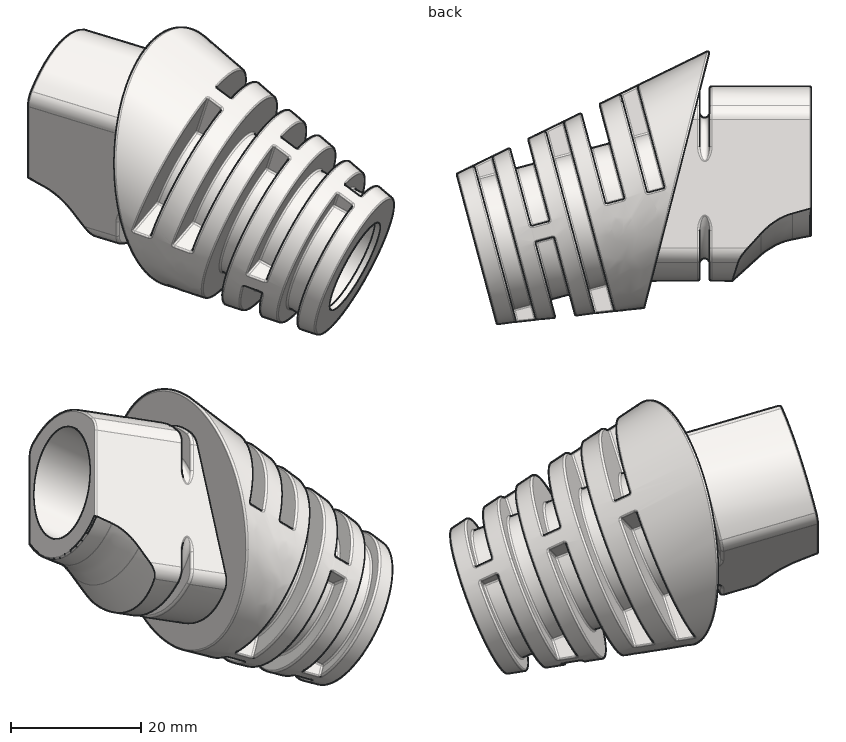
import cadquery as cq
import math

AXIS_TILT = 15.0
END_X, END_Z = 51.4, -10.1

END_RADIUS = 12.0
FACE_X, FACE_Z = 20.6, 0.7
FACE_TILT = 14.3
FACE_HALF_HEIGHT = 20.5
FACE_HALF_WIDTH = 19.0

CORE_RADIUS = 10.45
SLOT_WIDTH = 3.0
SLOT_PITCH = 2 * SLOT_WIDTH
RIB_WIDTH = 2.5
PARTIAL_SLOT_FLOOR = 1.6
CUTTER_RADIUS = 24.5

LAST_SLOT_START = 27.55
LAST_SLOT_WIDTH = 2.8
LAST_RIB_WIDTH = 3.0

BORE_RADIUS = 8.45
LIP_RADIUS = 7.6
LIP_THICKNESS = 1.0

STEM_RADIUS = 15.0
STEM_WIDTH = 20.0
STEM_CORNER_RADIUS = 2.7
STEM_STOCK_LENGTH = 32.7

NECK_X = 16.4
NECK_WIDTH = 1.45
NECK_RADIUS = 10.85

RELIEF_AXIS_Z = 5.8
RELIEF_START_RADIUS = 13.85
RELIEF_SHALLOW_ANGLE = 11.0
RELIEF_STEEP_ANGLE = 42.0
RELIEF_ARC_START_X = 2.95
RELIEF_ARC_END_X = 7.8
RELIEF_OUTER_RADIUS = 24.5

EDGE_ROUND = 0.25
NECK_EDGE_ROUND = 0.4

tilt = math.radians(AXIS_TILT)
face_tilt = math.radians(FACE_TILT)

end_plane = cq.Plane(
    origin=(END_X, 0, END_Z),
    xDir=(math.sin(tilt), 0, math.cos(tilt)),
    normal=(-math.cos(tilt), 0, math.sin(tilt)),
)

face_plane = cq.Plane(
    origin=(FACE_X, 0, FACE_Z),
    xDir=(-math.sin(face_tilt), 0, math.cos(face_tilt)),
    normal=(math.cos(face_tilt), 0, math.sin(face_tilt)),
)


def axis_z(x):
    """Height of the bore axis at a given x."""
    return END_Z + (END_X - x) * math.tan(tilt)


def head_blank():
    """Straight-sided transition from the large ellipse to the small circle."""
    ellipse = cq.Wire.makeEllipse(
        FACE_HALF_HEIGHT, FACE_HALF_WIDTH, face_plane.origin, face_plane.zDir, face_plane.xDir
    )
    circle = cq.Wire.makeEllipse(
        END_RADIUS, END_RADIUS, end_plane.origin, -end_plane.zDir, end_plane.xDir
    )
    return cq.Workplane(obj=cq.Solid.makeLoft([ellipse, circle], True))


def ring(start, width=SLOT_WIDTH):
    """Full ring cutter; start is measured along the axis from the small end."""
    return (
        cq.Workplane(end_plane)
        .workplane(offset=start)
        .circle(CUTTER_RADIUS)
        .circle(CORE_RADIUS)
        .extrude(width)
    )


def axial_block(height, width, height_offset=0.0):
    """Block that runs along the bore axis over the whole head.

    The height is measured across the axis in the XZ plane, the width along Y.
    """
    return (
        cq.Workplane(end_plane)
        .center(height_offset, 0)
        .rect(height, width)
        .extrude(2 * CUTTER_RADIUS)
    )


def slot_cutters():
    """Ring cutters interrupted by ribs, with rounded floor edges and corners."""
    full = 2 * CUTTER_RADIUS
    upright_ribs = axial_block(full, RIB_WIDTH)
    side_ribs = axial_block(RIB_WIDTH, full)
    last_rib = axial_block(full, LAST_RIB_WIDTH)
    upper_part = axial_block(full, full, PARTIAL_SLOT_FLOOR + CUTTER_RADIUS)
    first, second, third, fourth = [ring(SLOT_WIDTH + i * SLOT_PITCH) for i in range(4)]
    last = ring(LAST_SLOT_START, LAST_SLOT_WIDTH)
    cutters = [
        first.cut(upright_ribs),
        second.cut(side_ribs),
        third.cut(upright_ribs),
        fourth.intersect(upper_part),
        last.intersect(upper_part).cut(last_rib),
    ]
    return [cutter.edges().fillet(EDGE_ROUND) for cutter in cutters]


def head():
    """Tapered head with its slots cut and its outer edges rounded."""
    body = head_blank()
    for cutter in slot_cutters():
        body = body.cut(cutter)
    return body.faces("%BSPLINE").edges("not %LINE").fillet(EDGE_ROUND)


def relief_cutter():
    """Turned profile that removes the underside of the stem near its free end."""
    shallow = math.radians(RELIEF_SHALLOW_ANGLE)
    steep = math.radians(RELIEF_STEEP_ANGLE)
    middle = (shallow + steep) / 2
    arc_run = RELIEF_ARC_END_X - RELIEF_ARC_START_X
    arc_radius = arc_run / (math.sin(steep) - math.sin(shallow))
    arc_start_r = RELIEF_START_RADIUS + RELIEF_ARC_START_X * math.tan(shallow)
    arc_mid_x = RELIEF_ARC_START_X + arc_radius * (math.sin(middle) - math.sin(shallow))
    arc_mid_r = arc_start_r + arc_radius * (math.cos(shallow) - math.cos(middle))
    arc_end_r = arc_start_r + arc_radius * (math.cos(shallow) - math.cos(steep))
    outer_x = RELIEF_ARC_END_X + (RELIEF_OUTER_RADIUS - arc_end_r) / math.tan(steep)
    return (
        cq.Workplane("XZ", origin=(0, 0, RELIEF_AXIS_Z))
        .moveTo(0, -RELIEF_START_RADIUS)
        .lineTo(RELIEF_ARC_START_X, -arc_start_r)
        .threePointArc((arc_mid_x, -arc_mid_r), (RELIEF_ARC_END_X, -arc_end_r))
        .lineTo(outer_x, -RELIEF_OUTER_RADIUS)
        .lineTo(0, -RELIEF_OUTER_RADIUS)
        .close()
        .revolve(360, (0, 0, 0), (1, 0, 0))
    )


def neck_cutter():
    """Round-bottomed groove centred on the bore axis."""
    half = NECK_WIDTH / 2
    straight_start = NECK_RADIUS + half
    return (
        cq.Workplane("XZ", origin=(NECK_X, 0, axis_z(NECK_X)))
        .moveTo(-half, CUTTER_RADIUS)
        .lineTo(-half, straight_start)
        .threePointArc((0, NECK_RADIUS), (half, straight_start))
        .lineTo(half, CUTTER_RADIUS)
        .close()
        .revolve(360, (0, 0, 0), (1, 0, 0))
    )


def round_neck_edges(body):
    """Round the outer edges of the groove, leaving the tangent line to its round bottom."""
    half = NECK_WIDTH / 2
    reach = 2 * STEM_RADIUS
    near_neck = cq.selectors.BoxSelector(
        (NECK_X - NECK_WIDTH, -reach, -reach),
        (NECK_X + NECK_WIDTH, reach, reach),
        boundingbox=True,
    )
    bottom_radius = NECK_RADIUS + half

    def is_outer(edge):
        return edge.geomType() != "CIRCLE" or abs(edge.radius() - bottom_radius) > half

    return body.edges(near_neck).filter(is_outer).fillet(NECK_EDGE_ROUND)


def stem():
    """Round bar with two flats, relieved, grooved and ended at the large face."""
    flats = cq.Workplane("XY").box(2 * STEM_STOCK_LENGTH, STEM_WIDTH, 4 * STEM_RADIUS)
    body = (
        cq.Workplane("YZ")
        .circle(STEM_RADIUS)
        .extrude(STEM_STOCK_LENGTH)
        .intersect(flats)
        .edges("|X")
        .fillet(STEM_CORNER_RADIUS)
    )
    trim_side = 2 * STEM_STOCK_LENGTH
    behind_face = cq.Workplane(face_plane).rect(trim_side, trim_side).extrude(STEM_STOCK_LENGTH)
    body = body.cut(relief_cutter()).faces("<X").edges().fillet(EDGE_ROUND)
    body = round_neck_edges(body.cut(neck_cutter()))
    return body.cut(behind_face)


def bore_cutter():
    """Bore through the whole part, leaving a thin lip at the small end."""
    length = 2 * END_X
    lip = cq.Workplane(end_plane).circle(LIP_RADIUS).extrude(length)
    main = cq.Workplane(end_plane).workplane(offset=LIP_THICKNESS).circle(BORE_RADIUS).extrude(length)
    return lip.union(main)


result = head().union(stem()).cut(bore_cutter())